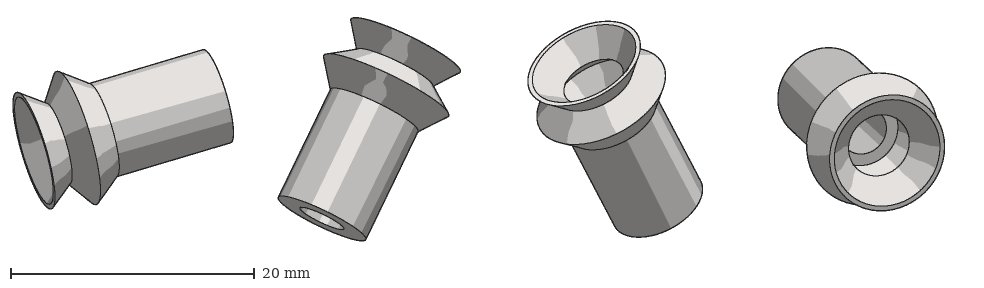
import cadquery as cq


total_length = 16.0
tube_length = 10.0
shoulder_y = total_length - tube_length
fold_y = 3.72
neck_y = 2.07

tube_diameter = 8.0
fold_diameter = 11.43
neck_diameter = 6.94
rim_diameter = 10.0

bore_diameter = 4.0
chamber_floor_diameter = 6.0
inner_fold_diameter = 8.8
inner_neck_diameter = 5.27
mouth_diameter = 9.18


def revolve_profile(stations):
    """Solid of revolution about Y from (diameter, y) stations listed along the axis."""
    first_y = stations[0][1]
    last_y = stations[-1][1]
    radius_points = [(diameter / 2, y) for diameter, y in stations]
    outline = [(0, first_y)] + radius_points + [(0, last_y)]
    return cq.Workplane("XY").polyline(outline).close().revolve(360, (0, 0), (0, 1))


def make_outside():
    return revolve_profile([
        (rim_diameter, 0),
        (neck_diameter, neck_y),
        (fold_diameter, fold_y),
        (tube_diameter, shoulder_y),
        (tube_diameter, total_length),
    ])


def make_cavity():
    """Flared mouth, folded chamber with a flat floor, and the bore through the tube."""
    return revolve_profile([
        (mouth_diameter, 0),
        (inner_neck_diameter, neck_y),
        (inner_fold_diameter, fold_y),
        (chamber_floor_diameter, shoulder_y),
        (bore_diameter, shoulder_y),
        (bore_diameter, total_length),
    ])


result = make_outside().cut(make_cavity())